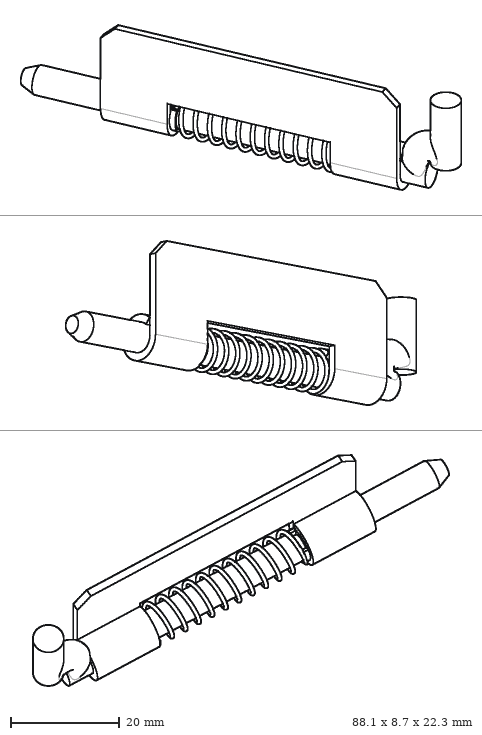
import cadquery as cq
import math


overall_length = 88.1
pin_diameter = 5.7
pin_radius = pin_diameter / 2
tip_length = 2.8
tip_radius = 1.7
bend_radius = 2.9
elbow_radius = 2.8
rod_end = overall_length - pin_radius - bend_radius
handle_top = 16.5

bracket_start = 17.4
bracket_length = 59.9
bracket_end = bracket_start + bracket_length
sheet_thickness = 1.5
knuckle_radius = pin_radius + sheet_thickness
bracket_height = 22.3
bracket_top = bracket_height - knuckle_radius
knuckle_length = 13.5
corner_chamfer_x = 2.9
corner_chamfer_z = 2.7
curl_gap_angle = 50.0
window_start = bracket_start + knuckle_length
window_end = bracket_end - knuckle_length

clip_thickness = 1.15
clip_radius = 3.35
clip_top = 2.1
groove_radius = 2.0
clip_end = window_start + clip_thickness

wire_diameter = 0.8
coil_radius = 3.8
coil_turns = 11
spring_length = window_end - clip_end
coil_pitch = spring_length / coil_turns


def cross_section(x):
    """Workplane across the pin axis: local x is +Y, local y is +Z, and it extrudes toward +X."""
    return cq.Workplane(cq.Plane(origin=(x, 0, 0), xDir=(0, 1, 0), normal=(1, 0, 0)))


def polar(radius, degrees):
    """Point on a circle around the pin axis, with the angle measured from +Y toward +Z."""
    angle = math.radians(degrees)
    return radius * math.cos(angle), radius * math.sin(angle)


def make_elbow():
    """Three-quarter ring about an axis along Y, from the rod's end face to the handle's lower face."""
    return (
        cq.Workplane("YZ", origin=(rod_end, 0, 0))
        .circle(elbow_radius)
        .revolve(270, (0, bend_radius, 0), (1, bend_radius, 0))
    )


def make_pin(elbow):
    """Rod with a tapered tip and a clip groove, joined by the elbow to an upright handle."""
    rod = (
        cq.Workplane("XZ")
        .polyline([(0, 0), (0, tip_radius), (tip_length, pin_radius), (rod_end, pin_radius), (rod_end, 0)])
        .close()
        .revolve(360, (0, 0, 0), (1, 0, 0))
    )
    groove = cross_section(window_start).circle(pin_diameter).circle(groove_radius).extrude(clip_thickness)
    handle = (
        cq.Workplane("XY", origin=(rod_end + bend_radius, 0, bend_radius))
        .circle(pin_radius)
        .extrude(handle_top - bend_radius)
    )
    return rod.cut(groove).union(elbow).union(handle)


def make_bracket(elbow):
    """Plate whose lower edge rolls around the pin as two knuckles, with a window between them."""
    plate_angle = 180.0
    curl_end_angle = plate_angle + 360.0 - curl_gap_angle
    curl_middle_angle = (plate_angle + curl_end_angle) / 2
    rolled_sheet = (
        cross_section(bracket_start)
        .moveTo(-knuckle_radius, bracket_top)
        .lineTo(-knuckle_radius, 0)
        .threePointArc(polar(knuckle_radius, curl_middle_angle), polar(knuckle_radius, curl_end_angle))
        .lineTo(*polar(pin_radius, curl_end_angle))
        .threePointArc(polar(pin_radius, curl_middle_angle), (-pin_radius, 0))
        .lineTo(-pin_radius, bracket_top)
        .close()
        .extrude(bracket_length)
    )
    outline = (
        cq.Workplane("XZ", origin=(0, knuckle_radius, 0))
        .polyline([
            (bracket_start, -knuckle_radius),
            (bracket_start, bracket_top - corner_chamfer_z),
            (bracket_start + corner_chamfer_x, bracket_top),
            (bracket_end - corner_chamfer_x, bracket_top),
            (bracket_end, bracket_top - corner_chamfer_z),
            (bracket_end, -knuckle_radius),
            (window_end, -knuckle_radius),
            (window_end, knuckle_radius),
            (window_start, knuckle_radius),
            (window_start, -knuckle_radius),
        ])
        .close()
        .extrude(2 * knuckle_radius)
    )
    return rolled_sheet.intersect(outline).cut(elbow)


def make_clip():
    """U-shaped clip, open toward +Z, with arms cut off flat."""
    disc = cross_section(window_start).circle(clip_radius).extrude(clip_thickness)
    seat = cross_section(window_start).circle(groove_radius).extrude(clip_thickness)
    mouth = (
        cross_section(window_start)
        .rect(2 * groove_radius, 2 * clip_radius)
        .extrude(clip_thickness)
        .translate((0, 0, clip_radius))
    )
    flat_top = (
        cross_section(window_start)
        .rect(2 * clip_radius, 2 * clip_radius)
        .extrude(clip_thickness)
        .translate((0, 0, clip_top + clip_radius))
    )
    return disc.cut(seat).cut(mouth).cut(flat_top)


def make_spring():
    """Right-handed coil that starts on the +Y side, with both ends ground flat."""
    coil_path = cq.Wire.makeHelix(coil_pitch, spring_length, coil_radius)
    coil_path = coil_path.moved(cross_section(clip_end).plane.location)
    start_direction = (coil_pitch, 0, 2 * math.pi * coil_radius)
    wire_plane = cq.Plane(origin=(clip_end, coil_radius, 0), xDir=(0, 1, 0), normal=start_direction)
    coil = cq.Workplane(wire_plane).circle(wire_diameter / 2).sweep(cq.Workplane(coil_path), isFrenet=True)
    spring_space = cross_section(clip_end).circle(2 * coil_radius).extrude(spring_length)
    return coil.intersect(spring_space)


elbow = make_elbow()
pin = make_pin(elbow)
bracket = make_bracket(elbow)
clip = make_clip()
spring = make_spring()

result = cq.Compound.makeCompound([body.solids().val() for body in (pin, bracket, clip, spring)])